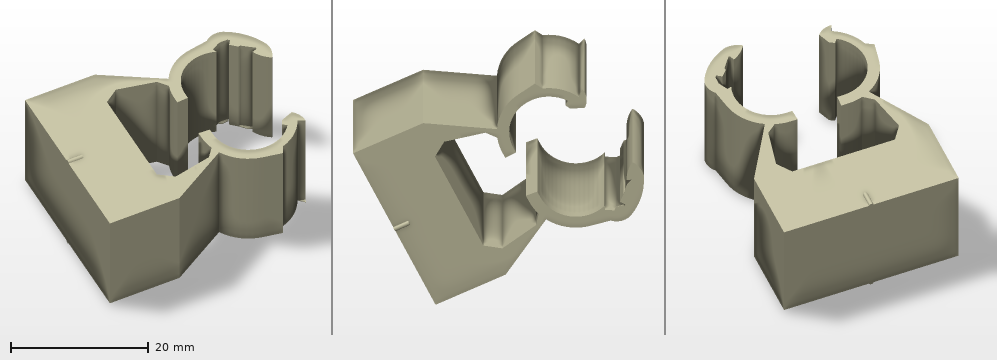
import cadquery as cq
import math

base_width = 27.6
total_height = 17.6
rib_projection = 0.3
body_height = total_height - 2 * rib_projection
base_bottom_z = -body_height / 2

half_width = base_width / 2
shoulder_y = 11.35
cavity_floor_y = 10.5
cavity_floor_x = 8.1
cavity_wide = (9.7, 12.8)
cavity_narrow = (8.43, 18.85)

ring_x = 4.5
ring_y = 27.22
bore_radius = 5.8
ring_radius = 7.6
right_tip_radius = 7.18
stub_inner_x = 3.55
stub_outer_x = 3.45

flank_angle = -9.2
leg_outer_angle = -60.7
leg_inner_angle = -71.5
bottom_angle = -90
left_bore_end_angle = 20.7
right_bore_end_angle = 54.8
right_barb_angle = 18.6
right_neck_angle = 63.6

rib_width = 0.75
rib_length = 2.4

web_thickness = 0.1

left_latch_root = (-12.5, 29.0)
left_bulge = (-13.25, 30.75)
left_back = (-13.05, 32.0)
left_back_middle = (-10.92, 34.75)
left_crown = (-7.9, 36.55)
left_crown_middle = (-6.5, 36.55)
left_latch_tip = (-5.25, 36.0)
hook_middle = (-6.15, 34.88)
hook_point = (-7.55, 33.95)
hook_root = (-7.8, 34.75)
hook_root_inner = (-8.05, 34.77)
tooth_upper = (-9.45, 32.95)
tooth_shoulder = (-9.38, 32.6)
tooth_point = (-10.35, 31.55)
notch_top = (-11.1, 32.1)
notch_corner = (-11.35, 31.8)
notch_side = (-11.35, 30.52)
notch_lower = (-11.2, 30.2)
notch_bottom = (-10.6, 29.02)

right_shoulder = (12.53, 28.85)
right_crown = (8.17, 34.75)
right_head_middle = (6.78, 34.45)
right_nose = (5.8, 33.67)
right_chin = (6.55, 31.7)
right_catch = (7.33, 31.3)

hook_web_edge = (-8.28, 33.65)
notch_web_top = (-11.0, 31.8)
notch_web_bottom = (-10.9, 30.7)
crown_web_tip = (8.6, 34.6)


def ring_point(side, radius, angle):
    """Point on a clamp ring; side is -1 for left and +1 for right."""
    turn = math.radians(angle)
    return (side * (ring_x + radius * math.cos(turn)), ring_y + radius * math.sin(turn))


def ring_arc(outline, side, radius, start, end):
    """Continue the outline around a clamp ring."""
    middle = ring_point(side, radius, (start + end) / 2)
    return outline.threePointArc(middle, ring_point(side, radius, end))


def mirrored(point):
    return (-point[0], point[1])


def bottom_plane():
    return cq.Workplane("XY").workplane(offset=base_bottom_z)


def make_body():
    outline = bottom_plane().moveTo(-half_width, 0).lineTo(half_width, 0)
    outline = outline.lineTo(half_width, shoulder_y)
    outline = outline.lineTo(*ring_point(1, ring_radius, leg_outer_angle))
    outline = ring_arc(outline, 1, ring_radius, leg_outer_angle, flank_angle)
    outline = outline.lineTo(*right_shoulder)

    outline = outline.lineTo(*ring_point(1, right_tip_radius, right_barb_angle))
    outline = ring_arc(outline, 1, right_tip_radius, right_barb_angle, right_neck_angle)
    outline = outline.lineTo(*right_crown).threePointArc(right_head_middle, right_nose)
    outline = outline.lineTo(*right_chin).lineTo(*right_catch)
    outline = outline.lineTo(*ring_point(1, bore_radius, right_bore_end_angle))
    outline = ring_arc(outline, 1, bore_radius, right_bore_end_angle, bottom_angle)

    outline = outline.lineTo(stub_inner_x, ring_y - bore_radius)
    outline = outline.lineTo(stub_outer_x, ring_y - ring_radius)
    outline = outline.lineTo(*ring_point(1, ring_radius, bottom_angle))
    outline = ring_arc(outline, 1, ring_radius, bottom_angle, leg_inner_angle)
    outline = outline.lineTo(*cavity_narrow).lineTo(*cavity_wide)
    outline = outline.lineTo(cavity_floor_x, cavity_floor_y)
    outline = outline.lineTo(-cavity_floor_x, cavity_floor_y)
    outline = outline.lineTo(*mirrored(cavity_wide)).lineTo(*mirrored(cavity_narrow))
    outline = outline.lineTo(*ring_point(-1, ring_radius, leg_inner_angle))
    outline = ring_arc(outline, -1, ring_radius, leg_inner_angle, bottom_angle)
    outline = outline.lineTo(-stub_outer_x, ring_y - ring_radius)
    outline = outline.lineTo(-stub_inner_x, ring_y - bore_radius)
    outline = outline.lineTo(*ring_point(-1, bore_radius, bottom_angle))

    outline = ring_arc(outline, -1, bore_radius, bottom_angle, left_bore_end_angle)
    for corner in (notch_bottom, notch_lower, notch_side, notch_corner, notch_top, tooth_point,
                   tooth_shoulder, tooth_upper, hook_root_inner, hook_root, hook_point):
        outline = outline.lineTo(*corner)
    outline = outline.threePointArc(hook_middle, left_latch_tip)

    outline = outline.threePointArc(left_crown_middle, left_crown)
    outline = outline.threePointArc(left_back_middle, left_back)
    outline = outline.threePointArc(left_bulge, left_latch_root)
    outline = outline.lineTo(*ring_point(-1, ring_radius, flank_angle))
    outline = ring_arc(outline, -1, ring_radius, flank_angle, leg_outer_angle)
    outline = outline.lineTo(-half_width, shoulder_y).close()
    return outline.extrude(body_height)


def make_rib(side):
    """Rounded rib on the top (+1) or bottom (-1) face."""
    face_z = side * body_height / 2
    profile = cq.Workplane("XZ").moveTo(-rib_width / 2, 0).lineTo(-rib_width / 2, face_z)
    profile = profile.threePointArc((0, face_z + side * rib_projection), (rib_width / 2, face_z))
    return profile.lineTo(rib_width / 2, 0).close().extrude(-rib_length)


def make_web(corners):
    return bottom_plane().polyline(corners).close().extrude(web_thickness)


result = make_body()
for side in (1, -1):
    result = result.union(make_rib(side))

right_neck = ring_point(1, right_tip_radius, right_neck_angle)
hook_web = [hook_root_inner, hook_root, hook_web_edge, tooth_shoulder, tooth_upper]
notch_web = [notch_corner, notch_web_top, notch_web_bottom, notch_lower, notch_side]
crown_web = [right_crown, crown_web_tip, right_neck]
for corners in (hook_web, notch_web, crown_web):
    result = result.union(make_web(corners))